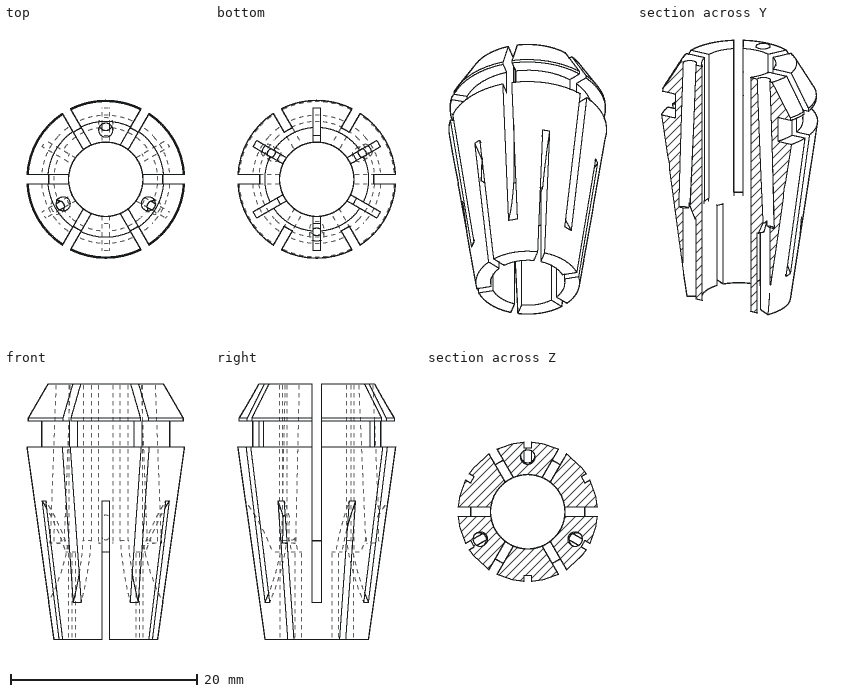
import cadquery as cq
import math

length = 27.5
bore_radius = 4.0

taper_angle = 8.0
taper_top_radius = 8.5
taper_length = 20.74
taper_bottom_radius = taper_top_radius - taper_length * math.tan(math.radians(taper_angle))

groove_radius = 6.9
groove_width = 2.75
head_radius = 8.35
head_rim_height = 0.33
head_angle = 30.0
head_bottom = taper_length + groove_width
head_cone_bottom = head_bottom + head_rim_height
head_top_radius = head_radius - (length - head_cone_bottom) * math.tan(math.radians(head_angle))

slots_per_end = 6
slot_pitch = 360.0 / slots_per_end
saw_radius = 22.0
top_slot_width = 1.0
top_slot_arc_radius = bore_radius
top_slot_inner_height = 10.65
top_slot_outer_height = 4.0
bottom_slot_width = 0.77
bottom_slot_arc_radius = 4.73
bottom_slot_inner_height = 9.4
bottom_slot_outer_height = 14.93

hole_count = 3
hole_diameter = 1.5
hole_circle_radius = 5.28
hole_depth = 17.13
hole_lean = 2.5
first_hole_angle = 90.0
hole_pitch = 360.0 / hole_count

clearance = 1.38


def taper_radius(height):
    """Outer radius of the gripping taper at a height above the small end."""
    return taper_bottom_radius + height * math.tan(math.radians(taper_angle))


def make_body():
    """Revolved collet with its bore."""
    profile = [
        (bore_radius, 0),
        (taper_bottom_radius, 0),
        (taper_top_radius, taper_length),
        (groove_radius, taper_length),
        (groove_radius, head_bottom),
        (head_radius, head_bottom),
        (head_radius, head_cone_bottom),
        (head_top_radius, length),
        (bore_radius, length),
    ]
    return cq.Workplane("XZ").polyline(profile).close().revolve(360, (0, 0), (0, 1))


def make_slot(width, arc_radius, inner_height, outer_height, open_height, angle):
    """Radial slot whose end follows the rim of a saw blade.

    The arc runs from arc_radius, at inner_height, to the outer taper and bulges
    into the metal, away from the open end of the slot. Inside arc_radius the
    slot ends level at inner_height.
    """
    outer_radius = taper_radius(outer_height)
    run = outer_radius - arc_radius
    rise = outer_height - inner_height
    chord = math.hypot(run, rise)
    bulge = saw_radius - math.sqrt(saw_radius**2 - (chord / 2) ** 2)
    middle = (
        (arc_radius + outer_radius) / 2 - bulge * abs(rise) / chord,
        (inner_height + outer_height) / 2 + bulge * math.copysign(run, rise) / chord,
    )
    past_part = taper_top_radius + clearance
    return (
        cq.Workplane("XZ")
        .moveTo(0, inner_height)
        .lineTo(arc_radius, inner_height)
        .threePointArc(middle, (outer_radius, outer_height))
        .lineTo(past_part, outer_height)
        .lineTo(past_part, open_height)
        .lineTo(0, open_height)
        .close()
        .extrude(width / 2, both=True)
        .rotate((0, 0, 0), (0, 0, 1), angle)
    )


def make_hole(angle):
    """Flat-bottomed hole that leans outward, away from the bore, going down."""
    return (
        cq.Workplane("XY")
        .circle(hole_diameter / 2)
        .extrude(hole_depth + clearance)
        .translate((0, 0, -hole_depth))
        .rotate((0, 0, 0), (0, 1, 0), -hole_lean)
        .translate((hole_circle_radius, 0, length))
        .rotate((0, 0, 0), (0, 0, 1), angle)
    )


result = make_body()

for index in range(slots_per_end):
    top_angle = index * slot_pitch
    bottom_angle = top_angle + slot_pitch / 2
    top_slot = make_slot(
        top_slot_width,
        top_slot_arc_radius,
        top_slot_inner_height,
        top_slot_outer_height,
        length + clearance,
        top_angle,
    )
    bottom_slot = make_slot(
        bottom_slot_width,
        bottom_slot_arc_radius,
        bottom_slot_inner_height,
        bottom_slot_outer_height,
        -clearance,
        bottom_angle,
    )
    result = result.cut(top_slot).cut(bottom_slot)

for index in range(hole_count):
    result = result.cut(make_hole(first_hole_angle + index * hole_pitch))